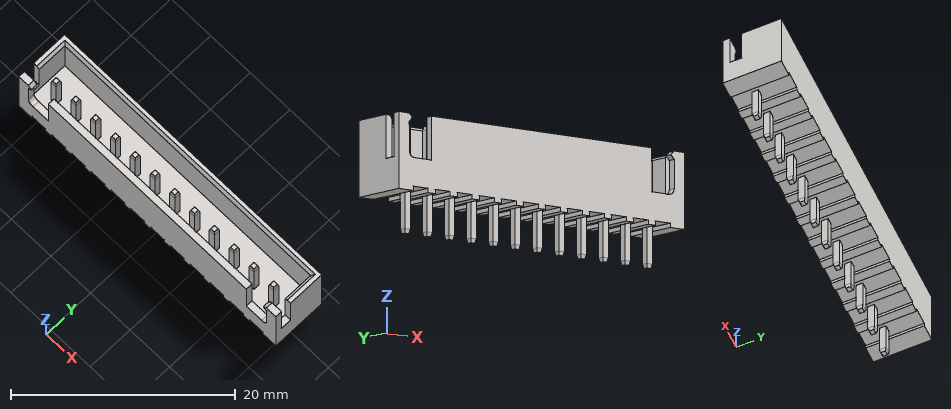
import cadquery as cq

pin_count = 12
length = 32.5
depth = 5.75
height = 7.0
pitch = length / (pin_count + 1)

front_wall = 0.7
back_wall = 0.68
side_wall = 0.7
cavity_depth = 5.0
lead_in = 0.3

opening_depth = 4.0
window_outer = 1.2
window_inner = 3.75
window_radius = 0.6
lip_reach = 0.4
slot_back = 1.85

notch_width = 1.7
notch_height = 0.4

pin_width = 0.65
pin_y = 2.2
pin_below = 3.5
pin_recess = 0.5
tip_length = 0.4
tip_inset = 0.1

pin_xs = [(i - (pin_count - 1) / 2) * pitch for i in range(pin_count)]


def box(x0, x1, y0, y1, z0, z1):
    """Axis-aligned box between opposite corners."""
    return cq.Workplane("XY").box(x1 - x0, y1 - y0, z1 - z0, centered=False).translate((x0, y0, z0))


def cavity():
    """Open-topped pocket with a sloped lead-in along the back and side walls."""
    half = length / 2 - side_wall
    back = depth - back_wall
    pocket = box(-half, half, front_wall, back, height - cavity_depth, height)
    rim_base = height - lead_in
    flare = (
        cq.Workplane("XY", origin=(0, (front_wall + back) / 2, rim_base))
        .rect(2 * half, back - front_wall)
        .workplane(offset=lead_in)
        .rect(2 * (half + lead_in), back - front_wall + 2 * lead_in)
        .loft(ruled=True)
    )
    trim = box(-length / 2, length / 2, front_wall, depth, rim_base, height)
    return pocket.union(flare.intersect(trim))


def left_window():
    """Front wall opening with a pointed lip at its outer top and a rounded outer bottom corner."""
    outer = window_outer - length / 2
    inner = window_inner - length / 2
    sill = height - opening_depth
    return (
        cq.Workplane("XZ")
        .moveTo(outer, height)
        .lineTo(outer + lip_reach, height - lip_reach)
        .lineTo(outer, height - 2 * lip_reach)
        .lineTo(outer, sill + window_radius)
        .radiusArc((outer + window_radius, sill), -window_radius)
        .lineTo(inner, sill)
        .lineTo(inner, height)
        .close()
        .extrude(-front_wall)
    )


def left_slot():
    """Slot through the end wall, directly behind the front wall."""
    outside = -length / 2
    return box(outside, outside + side_wall, front_wall, slot_back, height - opening_depth, height)


def notch(x):
    """Shallow groove across the underside around one pin."""
    return box(x - notch_width / 2, x + notch_width / 2, 0, depth, 0, notch_height)


def pin_tip(x, z, direction):
    """Tapered pin end starting at height z and pointing up (1) or down (-1)."""
    tip_width = pin_width - 2 * tip_inset
    return (
        cq.Workplane("XY", origin=(x, pin_y, z))
        .rect(pin_width, pin_width)
        .workplane(offset=direction * tip_length)
        .rect(tip_width, tip_width)
        .loft(ruled=True)
    )


def pin(x):
    """Square pin through the cavity floor, tapered at both ends."""
    bottom = tip_length - pin_below
    top = height - pin_recess - tip_length
    half = pin_width / 2
    shank = box(x - half, x + half, pin_y - half, pin_y + half, bottom, top)
    return shank.union(pin_tip(x, top, 1)).union(pin_tip(x, bottom, -1))


result = box(-length / 2, length / 2, 0, depth, 0, height).cut(cavity())
for opening in (left_window(), left_slot()):
    result = result.cut(opening).cut(opening.mirror("YZ"))
for pin_x in pin_xs:
    result = result.cut(notch(pin_x)).union(pin(pin_x))